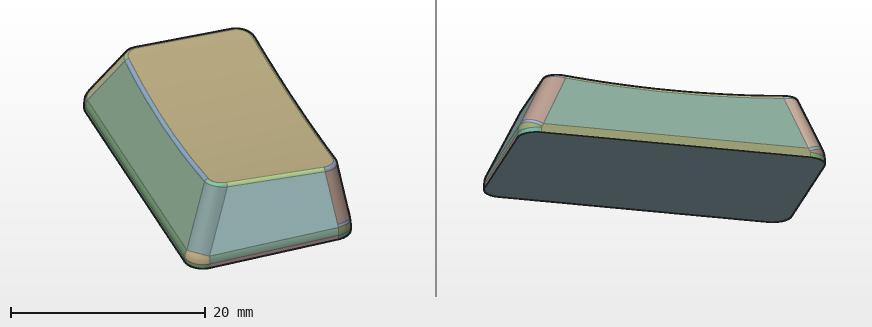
import cadquery as cq
import math

length = 32.45
width = 18.17
corner_radius = 2.0
skirt_height = 1.0

end_lean = 25.0
front_lean = 26.8
back_lean = 5.0
blank_height = 9.75

dish_radius = 120.05
dish_tilt = 3.4
dish_center_height = 6.8
top_edge_radius = 0.45


def inset(lean):
    """Inward travel of a leaning wall between the skirt and the blank's top."""
    return (blank_height - skirt_height) * math.tan(math.radians(lean))


def make_blank():
    """Sharp-cornered skirt with leaning walls above it, taller than the finished cap."""
    skirt = cq.Workplane().box(length, width, skirt_height, centered=(True, True, False))
    walls = (
        skirt.faces(">Z")
        .workplane(origin=(0, 0, skirt_height))
        .rect(length, width)
        .workplane(offset=blank_height - skirt_height)
        .center(0, (inset(front_lean) - inset(back_lean)) / 2)
        .rect(length - 2 * inset(end_lean), width - inset(front_lean) - inset(back_lean))
        .loft(ruled=True, combine=False)
    )
    return skirt.union(walls)


def make_dish_cutter():
    """Cylinder that hollows the top along the length of the cap."""
    return (
        cq.Workplane("XZ")
        .center(0, dish_center_height + dish_radius)
        .circle(dish_radius)
        .extrude(width, both=True)
        .rotate((0, 0, dish_center_height), (1, 0, dish_center_height), -dish_tilt)
    )


skirt_seam = cq.selectors.BoxSelector(
    (-length, -width, skirt_height - 0.03),
    (length, width, skirt_height + 0.03),
    boundingbox=True,
)

corner_edges = cq.StringSyntaxSelector("not(|X or |Y)")

cap = make_blank().edges(skirt_seam + corner_edges).fillet(corner_radius)
cap = cap.cut(make_dish_cutter())
result = cap.faces(">Z").edges().fillet(top_edge_radius)